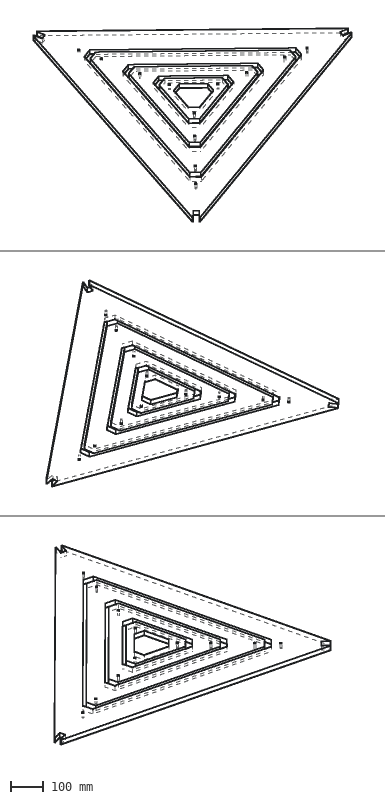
import cadquery as cq
import math

SHEET_THICKNESS = 18.0
CORNER_ANGLES = (90.0, 210.0, 330.0)
SIDE_PER_INRADIUS = 2 * math.sqrt(3)
FLAT_PER_CUT = 2 / math.sqrt(3)

PANEL_SIDE = 1000.0
PANEL_CORNER_FLAT = 23.77
PANEL_CORNER_CUT = PANEL_CORNER_FLAT / FLAT_PER_CUT
SLOT_WIDTH = 18.0
SLOT_FLOOR_SETBACK = 50.0

RING_CORNER_CUT = 30.0
RING_GAP = 10.0
SIDE_REDUCTIONS = (300.0, 200.0, 150.0, 90.0)

HOLE_DIAMETER = 6.0
HOLE_SETBACK = 30.0


def corner_reach(side, corner_cut):
    """Distance from the centre to the flat of a cut-off corner."""
    circumradius = side / math.sqrt(3)
    return circumradius - corner_cut


def cut_corner_triangle(side, corner_cut):
    """Plate in the shape of an equilateral triangle with each corner cut off square."""
    reach = corner_reach(side, corner_cut)
    half_flat = corner_cut * FLAT_PER_CUT / 2
    points = []
    for angle in CORNER_ANGLES:
        along = cq.Vector(math.cos(math.radians(angle)), math.sin(math.radians(angle)))
        across = cq.Vector(-along.y, along.x)
        for offset in (-half_flat, half_flat):
            point = along * reach + across * offset
            points.append((point.x, point.y))
    return cq.Workplane("XY").polyline(points).close().extrude(SHEET_THICKNESS)


def corner_holes(hole_radius):
    """Cutters for the three screw holes of a ring, at the given distance from the centre."""
    return (
        cq.Workplane("XY")
        .polarArray(hole_radius, CORNER_ANGLES[0], 360, len(CORNER_ANGLES))
        .circle(HOLE_DIAMETER / 2)
        .extrude(SHEET_THICKNESS)
    )


def corner_slot(angle):
    """Cutter for the slot at one corner of the outer ring, open at the corner flat."""
    return (
        cq.Workplane("XY")
        .box(SLOT_FLOOR_SETBACK, SLOT_WIDTH, SHEET_THICKNESS, centered=(False, True, False))
        .translate((corner_reach(PANEL_SIDE, SLOT_FLOOR_SETBACK), 0, 0))
        .rotate((0, 0, 0), (0, 0, 1), angle)
    )


def frame_ring(side, corner_cut, window_side, hole_radius):
    """One ring with its window and screw holes."""
    plate = cut_corner_triangle(side, corner_cut)
    window = cut_corner_triangle(window_side, RING_CORNER_CUT)
    return plate.cut(window).cut(corner_holes(hole_radius))


def outer_ring(window_side):
    """Largest ring: holes lie outside the window corners, and each outer corner is slotted."""
    hole_radius = corner_reach(window_side, RING_CORNER_CUT) + HOLE_SETBACK
    ring = frame_ring(PANEL_SIDE, PANEL_CORNER_CUT, window_side, hole_radius)
    for angle in CORNER_ANGLES:
        ring = ring.cut(corner_slot(angle))
    return ring


def middle_ring(side, window_side):
    """Ring with its holes set back from its own corner flats."""
    hole_radius = corner_reach(side, RING_CORNER_CUT) - HOLE_SETBACK
    return frame_ring(side, RING_CORNER_CUT, window_side, hole_radius)


def inner_ring(side, window_side):
    """Smallest ring: holes lie midway between its corner flats and those of its window."""
    ring_reach = corner_reach(side, RING_CORNER_CUT)
    window_reach = corner_reach(window_side, RING_CORNER_CUT)
    return frame_ring(side, RING_CORNER_CUT, window_side, (ring_reach + window_reach) / 2)


ring_sides = []
window_sides = []
next_side = PANEL_SIDE
for reduction in SIDE_REDUCTIONS:
    ring_sides.append(next_side)
    window_sides.append(next_side - reduction)
    next_side = window_sides[-1] - RING_GAP * SIDE_PER_INRADIUS

rings = [outer_ring(window_sides[0])]
for ring_side, window_side in zip(ring_sides[1:-1], window_sides[1:-1]):
    rings.append(middle_ring(ring_side, window_side))
rings.append(inner_ring(ring_sides[-1], window_sides[-1]))

result = cq.Compound.makeCompound([ring.val() for ring in rings])